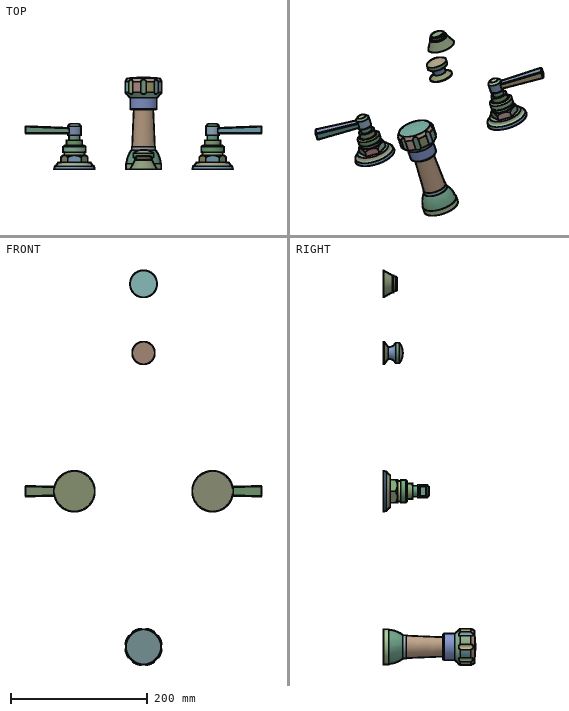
import cadquery as cq
import math


overall_width = 348.0
handle_offset = 101.5
cap_height = 305.0
knob_height = 203.0
sprayer_height = -229.0

cap_diameter = 40.0
cap_radius = cap_diameter / 2
cap_length = 20.5
cap_collar_radius = 13.0
cap_collar_start = 13.5
cap_collar_end = 15.0
cap_tip_radius = 11.0
cap_tip_chamfer = 2.0

knob_foot_radius = 17.0
knob_foot_thickness = 1.0
knob_waist_radius = 9.0
knob_waist_start = 7.0
knob_waist_mid_radius = 10.5
knob_waist_mid = 14.0
knob_head_radius = 15.0
knob_head_start = 18.0
knob_head_end = 24.0
knob_length = 29.0

handle_base_radius = 30.0
handle_base_rim_radius = 29.0
handle_base_rim = 4.5
handle_step_radius = 26.0
handle_step = 7.0
handle_step_top_radius = 24.0
hex_sides = 6
hex_start = 10.5
hex_end = 21.0
hex_corner_radius = 20.0
hex_top_radius = 17.0
neck_radius = 15.0
disc_radius = 17.0
disc_start = 25.5
disc_end = 33.0
shoulder_start = 35.5
shoulder_radius = 14.0
shoulder_end = 43.0
shoulder_top_radius = 11.5
stem_radius = 8.0
head_radius = 10.0
head_start = 50.5
head_end = 67.5
head_chamfer = 3.5

lever_reach = overall_width / 2 - handle_offset
lever_bottom = 53.0
lever_root_depth = 8.0
lever_tip_depth = 11.0
lever_root_width = 12.0
lever_tip_width = 16.0
lever_chamfer = 1.0

sprayer_base_radius = 26.0
sprayer_base_length = 8.0
bell_lip_radius = 25.5
bell_mid_radius = 23.0
bell_mid = 19.0
bell_top_radius = 18.0
bell_end = 28.5
ring_radius = 17.5
ring_end = 33.5
tube_bottom_radius = 17.0
tube_top_radius = 14.5
collar_start = 87.5
collar_end = 105.0
collar_radius = 20.0
collar_chamfer = 2.0
crown_radius = 27.0
crown_start = 113.0
crown_end = 129.0
crown_top_radius = 24.0
crown_top = 134.0
sprayer_length = 136.0
flute_count = 8
flute_depth = 2.5
flute_radius = 5.0


def spin(outline):
    """Revolve a closed outline once around the Y axis."""
    return outline.revolve(360, (0, 0, 0), (0, 1, 0))


def turned(points):
    """Solid turned about the Y axis from a (radius, y) outline."""
    return spin(cq.Workplane("XY").polyline([(0, 0)] + points).close())


def make_cap():
    return turned([
        (cap_radius, 0),
        (cap_collar_radius, cap_collar_start),
        (cap_collar_radius, cap_collar_end),
        (cap_tip_radius, cap_collar_end),
        (cap_tip_radius, cap_length - cap_tip_chamfer),
        (cap_tip_radius - cap_tip_chamfer, cap_length),
        (0, cap_length),
    ])


def make_knob():
    dome_rise = knob_length - knob_head_end
    dome_sphere = (knob_head_radius**2 + dome_rise**2) / (2 * dome_rise)
    dome_mid_radius = knob_head_radius / 2
    dome_mid = knob_length - dome_sphere + math.sqrt(dome_sphere**2 - dome_mid_radius**2)
    outline = (
        cq.Workplane("XY")
        .lineTo(knob_foot_radius, 0)
        .lineTo(knob_foot_radius, knob_foot_thickness)
        .lineTo(knob_waist_radius, knob_waist_start)
        .threePointArc((knob_waist_mid_radius, knob_waist_mid), (knob_head_radius, knob_head_start))
        .lineTo(knob_head_radius, knob_head_end)
        .threePointArc((dome_mid_radius, dome_mid), (0, knob_length))
        .close()
    )
    return spin(outline)


def make_hub():
    hub = turned([
        (handle_base_radius, 0),
        (handle_base_rim_radius, handle_base_rim),
        (handle_step_radius, handle_step),
        (handle_step_top_radius, hex_start),
        (neck_radius, hex_start),
        (neck_radius, disc_start),
        (disc_radius, disc_start),
        (disc_radius, disc_end),
        (shoulder_radius, shoulder_start),
        (shoulder_top_radius, shoulder_start),
        (shoulder_top_radius, shoulder_end),
        (stem_radius, shoulder_end),
        (stem_radius, head_start),
        (head_radius, head_start),
        (head_radius, head_end - head_chamfer),
        (head_radius - head_chamfer, head_end),
        (0, head_end),
    ])
    return hub.union(make_hex())


def make_hex():
    """Hexagon with corners toward +X and -X, its upper corners turned off."""
    prism = (
        cq.Workplane("XZ", origin=(0, hex_start, 0))
        .polygon(hex_sides, 2 * hex_corner_radius)
        .extrude(hex_start - hex_end)
    )
    turned_off = hex_corner_radius - hex_top_radius
    envelope = turned([
        (hex_corner_radius, 0),
        (hex_corner_radius, hex_end - turned_off),
        (hex_top_radius, hex_end),
        (0, hex_end),
    ])
    return prism.intersect(envelope)


def make_lever(side):
    """Bevelled lever that widens from the hub axis to its tip."""
    root = cq.Workplane("YZ").center(lever_bottom + lever_root_depth / 2, 0)
    lever = (
        root.rect(lever_root_depth, lever_root_width)
        .workplane(offset=side * lever_reach)
        .center((lever_tip_depth - lever_root_depth) / 2, 0)
        .rect(lever_tip_depth, lever_tip_width)
        .loft(ruled=True)
    )
    root_face = "<X" if side > 0 else ">X"
    return lever.edges(f"not({root_face})").chamfer(lever_chamfer)


def make_handle(side):
    handle = make_hub().union(make_lever(side))
    return handle.translate((side * handle_offset, 0, 0))


def make_sprayer():
    outline = (
        cq.Workplane("XY")
        .lineTo(sprayer_base_radius, 0)
        .lineTo(sprayer_base_radius, sprayer_base_length)
        .lineTo(bell_lip_radius, sprayer_base_length)
        .threePointArc((bell_mid_radius, bell_mid), (bell_top_radius, bell_end))
        .lineTo(ring_radius, bell_end)
        .lineTo(ring_radius, ring_end)
        .lineTo(tube_bottom_radius, ring_end)
        .lineTo(tube_top_radius, collar_start)
        .lineTo(collar_radius - collar_chamfer, collar_start)
        .lineTo(collar_radius, collar_start + collar_chamfer)
        .lineTo(collar_radius, collar_end)
        .lineTo(crown_radius, crown_start)
        .lineTo(crown_radius, crown_end)
        .lineTo(crown_top_radius, crown_top)
        .lineTo(0, sprayer_length)
        .close()
    )
    return cut_flutes(spin(outline))


def cut_flutes(sprayer):
    """Cut shallow round grooves along the crown, evenly spaced about its axis."""
    distance = crown_radius - flute_depth + flute_radius
    cutter = (
        cq.Workplane("XZ", origin=(0, collar_end, distance))
        .circle(flute_radius)
        .extrude(collar_end - sprayer_length)
    )
    for i in range(flute_count):
        angle = i * 360 / flute_count
        sprayer = sprayer.cut(cutter.rotate((0, 0, 0), (0, 1, 0), angle))
    return sprayer


cap = make_cap().translate((0, 0, cap_height))
knob = make_knob().translate((0, 0, knob_height))
sprayer = make_sprayer().translate((0, 0, sprayer_height))
handles = [make_handle(side) for side in (-1, 1)]

result = cq.Compound.makeCompound(
    [cap.val(), knob.val(), sprayer.val()] + [handle.val() for handle in handles]
)